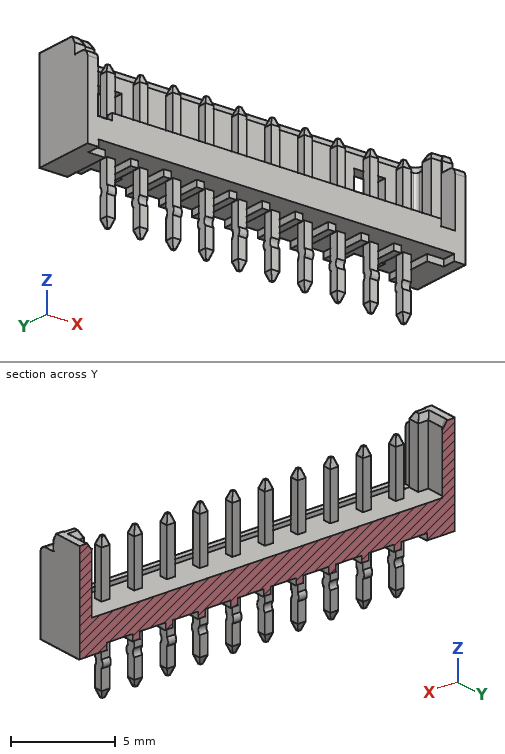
import cadquery as cq
import math


length = 23.0
depth = 3.7
height = 6.0
side_wall = 0.65
back_wall = 0.74
floor_top = 2.0
corner_radius = 0.2

lead_height = 0.4
lead_width = 0.2

cheek_depth = 1.0
cheek_top = 5.0
cheek_radius = 0.4

lug_front = 1.05
lug_depth = 0.7
lug_reach = 1.26

rib_thickness = 0.35
floor_edge = 0.75
ledge_top = 1.6
notch_end = 1.5

window_width = 1.89
window_top = 4.85

foot_height = 0.4
foot_width = 0.45
foot_setback = 0.8
end_foot_length = 1.7
end_foot_toe = 0.7

pin_count = 10
pitch = 2.0
pin_y = 1.6
pin_width = 0.5
pin_top = 5.34
pin_bottom = -3.2
tip_height = 0.48
tip_width = 0.15
kink_z = -1.29
kink_height = 0.48
kink_depth = 0.1

half_length = length / 2
pocket_half = half_length - side_wall
pocket_back = depth - back_wall
lead_base = height - lead_height
lead_angle = math.degrees(math.atan2(lead_width, lead_height))
pin_places = [(i - (pin_count - 1) / 2) * pitch for i in range(pin_count)]


def block(x0, x1, y0, y1, z0, z1):
    """Box between two opposite corners."""
    return cq.Workplane("XY").box(x1 - x0, y1 - y0, z1 - z0, centered=False).translate((x0, y0, z0))


def both_ends(solid):
    """A solid together with its mirror image at the other end of the row."""
    return solid.union(solid.mirror("YZ"))


def shroud_blank():
    """Side profile of the housing swept along the whole row."""
    round_mid = cheek_radius * (1 - math.sqrt(0.5))
    return (
        cq.Workplane("YZ")
        .moveTo(0, 0)
        .lineTo(depth, 0)
        .lineTo(depth, height)
        .lineTo(cheek_depth + lead_width, height)
        .lineTo(cheek_depth, lead_base)
        .lineTo(cheek_depth, cheek_top)
        .lineTo(cheek_radius, cheek_top)
        .threePointArc((round_mid, cheek_top - round_mid), (0, cheek_top - cheek_radius))
        .close()
        .extrude(half_length, both=True)
    )


def pocket():
    """Cavity with rounded back corners, a flared mouth and an open front."""
    front_overrun = depth
    outline = (
        cq.Sketch()
        .rect(2 * pocket_half, pocket_back + front_overrun)
        .vertices(">Y")
        .fillet(corner_radius)
    )
    outline_y = (pocket_back - front_overrun) / 2
    straight = (
        cq.Workplane("XY", origin=(0, outline_y, floor_top))
        .placeSketch(outline)
        .extrude(height - floor_top)
    )
    mouth = (
        cq.Workplane("XY", origin=(0, outline_y, lead_base))
        .placeSketch(outline)
        .extrude(lead_height, taper=-lead_angle)
    )
    return straight.union(mouth)


def front_ledge():
    """Groove behind the front rib and the notches beside it, cut below floor level."""
    groove = block(-pocket_half, pocket_half, rib_thickness, floor_edge, ledge_top, floor_top)
    notch = block(-pocket_half, notch_end - half_length, 0, lug_front, ledge_top, floor_top)
    return groove.union(both_ends(notch))


def lug():
    """Retaining lug on the left side wall, sloped on top along its three free sides."""
    x_end = lug_reach - half_length
    y_back = lug_front + lug_depth
    body = block(-half_length + lead_width, x_end, lug_front, y_back, floor_top, height)
    return body.faces(">Z").edges(">X or >Y or <Y").chamfer(lead_height, lead_width)


def windows():
    """Slots up through the back wall from the underside, midway between the last two pins at each end."""
    middle = pin_places[0] + pitch / 2
    half = window_width / 2
    return both_ends(block(middle - half, middle + half, pocket_back, depth, 0, window_top))


def foot_relief():
    """Space under the housing, leaving end feet and one small foot between each pair of pins."""
    front = block(end_foot_toe - half_length, half_length - end_foot_toe, 0, foot_setback, 0, foot_height)
    inner_half = half_length - end_foot_length
    relief = front.union(block(-inner_half, inner_half, 0, depth, 0, foot_height))
    for x in pin_places[:-1]:
        middle = x + pitch / 2
        foot = block(middle - foot_width / 2, middle + foot_width / 2, foot_setback, depth, 0, foot_height)
        relief = relief.cut(foot)
    return relief


def tip(base_z, direction):
    """Pyramid end of a pin, pointing up (+1) or down (-1)."""
    return (
        cq.Workplane("XY", origin=(0, 0, base_z))
        .rect(pin_width, pin_width)
        .workplane(offset=direction * tip_height)
        .rect(tip_width, tip_width)
        .loft(ruled=True)
    )


def pin(kink_side):
    """Square pin at x = 0, y = 0, bowed by its kink towards -Y (-1) or +Y (+1)."""
    half = pin_width / 2
    upper = pin_top - tip_height
    lower = pin_bottom + tip_height
    kink_top = kink_z + kink_height / 2
    kink_bottom = kink_z - kink_height / 2
    bow = kink_side * kink_depth
    shaft = (
        cq.Workplane("YZ")
        .moveTo(-half, upper)
        .lineTo(-half, kink_top)
        .threePointArc((-half + bow, kink_z), (-half, kink_bottom))
        .lineTo(-half, lower)
        .lineTo(half, lower)
        .lineTo(half, kink_bottom)
        .threePointArc((half + bow, kink_z), (half, kink_top))
        .lineTo(half, upper)
        .close()
        .extrude(half, both=True)
    )
    return shaft.union(tip(upper, 1)).union(tip(lower, -1))


housing = shroud_blank().cut(pocket()).union(both_ends(lug()))
housing = housing.cut(front_ledge()).cut(windows()).cut(foot_relief())

result = housing
for index, x in enumerate(pin_places):
    kink_side = -1 if index % 2 == 0 else 1
    result = result.union(pin(kink_side).translate((x, pin_y, 0)))